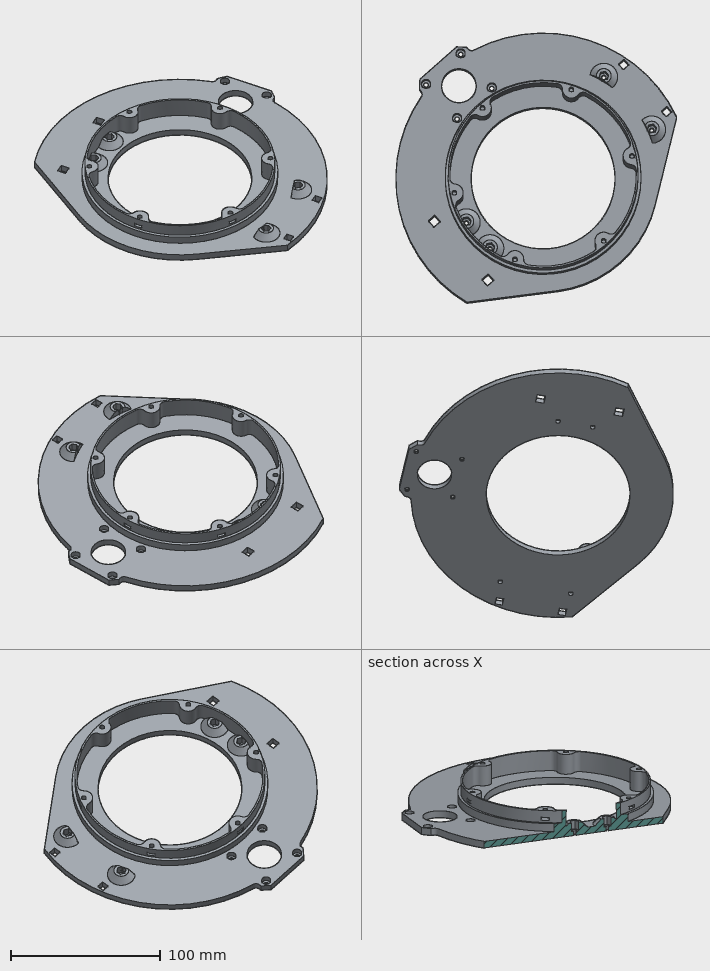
import cadquery as cq
import math

plate_thickness = 5.0
plate_radius = 98.3
nose_radius = 77.0
nose_half_angle = 34.5
bore_diameter = 96.0

tab_half_width = 21.2
tab_top = 104.8
tab_chamfer = 4.7
tab_root_fillet = 3.0
opening_diameter = 23.0
opening_y = 84.2
tab_screw_spacing = 31.0
screw_hole_diameter = 3.0
screw_head_diameter = 6.0
screw_head_depth = 4.0

flange_diameter = 130.8
flange_top = 10.5
ring_diameter = 126.9
ring_top = 18.9
ring_wall = 1.2
ring_inner_radius = ring_diameter / 2 - ring_wall

boss_count = 6
boss_first_angle = 30.0
boss_circle_radius = 60.5
boss_radius = 5.9
boss_fillet = 4.0
boss_hole_diameter = 3.1
nut_width = 5.5
nut_slot_bottom = 12.0
nut_slot_height = 2.0

cone_base_radius = 9.2
cone_top_radius = 5.0
cone_top = 9.2
nut_pocket_depth = 5.9
inner_cone_x = -58.2
inner_cone_half_pitch = 11.8
outer_cone_x = 76.0
outer_cone_half_pitch = 24.0
outer_cone_clearance_radius = 76.7

left_square_size = 5.7
left_square_x = -73.5
left_square_half_pitch = 26.7
right_square_size = 5.0
right_square_x = 91.5
right_square_half_pitch = 21.5


def cylinder(diameter, bottom, top):
    """Cylinder about the Z axis between two heights."""
    return cq.Workplane("XY").workplane(offset=bottom).circle(diameter / 2).extrude(top - bottom)


def mirrored_pair(x, half_pitch):
    """Two points placed symmetrically about the X axis."""
    return [(x, half_pitch), (x, -half_pitch)]


def boss_angles():
    """Angles of the screw bosses about the Z axis, in degrees."""
    return [boss_first_angle + index * 360 / boss_count for index in range(boss_count)]


def make_plate():
    """Plate outline with its two arcs, straight flanks and chamfered tab."""
    tangent = math.radians(nose_half_angle)
    corner = tangent + math.acos(nose_radius / plate_radius)
    tangent_x = nose_radius * math.sin(tangent)
    tangent_y = -nose_radius * math.cos(tangent)
    corner_x = plate_radius * math.sin(corner)
    corner_y = -plate_radius * math.cos(corner)
    tab_root_y = math.sqrt(plate_radius**2 - tab_half_width**2)
    shoulder_y = tab_top - tab_chamfer
    tab_top_half = tab_half_width - tab_chamfer
    plate = (
        cq.Workplane("XY")
        .moveTo(-tangent_x, tangent_y)
        .threePointArc((0, -nose_radius), (tangent_x, tangent_y))
        .lineTo(corner_x, corner_y)
        .threePointArc((plate_radius, 0), (tab_half_width, tab_root_y))
        .lineTo(tab_half_width, shoulder_y)
        .lineTo(tab_top_half, tab_top)
        .lineTo(-tab_top_half, tab_top)
        .lineTo(-tab_half_width, shoulder_y)
        .lineTo(-tab_half_width, tab_root_y)
        .threePointArc((-plate_radius, 0), (-corner_x, corner_y))
        .close()
        .extrude(plate_thickness)
    )
    for side in (-1, 1):
        root = cq.selectors.NearestToPointSelector((side * tab_half_width, tab_root_y, plate_thickness / 2))
        plate = plate.edges(root).fillet(tab_root_fillet)
    return plate


def make_ring_cavity():
    """Space inside the ring: a disc with a filleted notch around every boss."""
    bosses = (
        cq.Workplane("XY")
        .workplane(offset=plate_thickness)
        .polarArray(boss_circle_radius, boss_first_angle, 360, boss_count)
        .circle(boss_radius)
        .extrude(ring_top - plate_thickness)
    )
    cavity = cylinder(2 * ring_inner_radius, plate_thickness, ring_top).cut(bosses)
    notch_reach = boss_radius + boss_fillet
    notch_corners = []
    for angle in map(math.radians, boss_angles()):
        x = boss_circle_radius * math.cos(angle)
        y = boss_circle_radius * math.sin(angle)
        around_boss = cq.selectors.BoxSelector(
            (x - notch_reach, y - notch_reach, 0),
            (x + notch_reach, y + notch_reach, ring_top),
        )
        notch_corners.extend(cavity.edges("|Z").edges(around_boss).vals())
    return cavity.newObject(notch_corners).fillet(boss_fillet)


def cut_boss_holes(body):
    """Screw hole down each boss, meeting a nut slot that opens through the ring wall."""
    slot_inner_radius = boss_circle_radius - nut_width / 2
    slot_length = ring_diameter / 2 - slot_inner_radius + ring_wall
    for angle in boss_angles():
        hole = cylinder(boss_hole_diameter, nut_slot_bottom, ring_top)
        hole = hole.translate((boss_circle_radius, 0, 0))
        slot = cq.Workplane("XY").box(slot_length, nut_width, nut_slot_height, centered=(False, True, False))
        slot = slot.translate((slot_inner_radius, 0, nut_slot_bottom))
        cutter = hole.union(slot).rotate((0, 0, 0), (0, 0, 1), angle)
        body = body.cut(cutter)
    return body


def make_cones(points):
    """Truncated cones standing on the plate."""
    height = cone_top - plate_thickness
    cone = cq.Solid.makeCone(cone_base_radius, cone_top_radius, height)
    return (
        cq.Workplane("XY")
        .workplane(offset=plate_thickness)
        .pushPoints(points)
        .eachpoint(lambda place: cone.located(place), combine=False)
    )


def cut_nut_pockets(body, points):
    """Hexagonal pocket with corners towards +Y and -Y, and a screw hole through its floor."""
    nut_corner_diameter = nut_width / math.cos(math.radians(30))
    pockets = (
        cq.Workplane("XY")
        .workplane(offset=cone_top)
        .transformed(rotate=(0, 0, 90))
        .pushPoints([(y, -x) for x, y in points])
        .polygon(6, nut_corner_diameter)
        .extrude(-nut_pocket_depth)
    )
    holes = cq.Workplane("XY").pushPoints(points).circle(screw_hole_diameter / 2).extrude(cone_top)
    return body.cut(pockets).cut(holes)


def cut_square_holes(body, points, size):
    return body.cut(cq.Workplane("XY").pushPoints(points).rect(size, size).extrude(plate_thickness))


body = make_plate()
body = body.union(cylinder(flange_diameter, 0, flange_top))
body = body.union(cylinder(ring_diameter, 0, ring_top))
body = body.cut(make_ring_cavity())
body = body.cut(cylinder(bore_diameter, 0, plate_thickness))
body = cut_boss_holes(body)

inner_points = mirrored_pair(inner_cone_x, inner_cone_half_pitch)
outer_points = mirrored_pair(outer_cone_x, outer_cone_half_pitch)
inner_cones = make_cones(inner_points).intersect(cylinder(ring_diameter, 0, cone_top))
outer_cones = make_cones(outer_points).cut(cylinder(2 * outer_cone_clearance_radius, 0, cone_top))
body = body.union(inner_cones).union(outer_cones)
body = cut_nut_pockets(body, inner_points + outer_points)

body = body.cut(cylinder(opening_diameter, 0, plate_thickness).translate((0, opening_y, 0)))
body = (
    body.copyWorkplane(cq.Workplane("XY", origin=(0, opening_y, plate_thickness)))
    .rarray(tab_screw_spacing, tab_screw_spacing, 2, 2)
    .cboreHole(screw_hole_diameter, screw_head_diameter, screw_head_depth)
)

left_squares = mirrored_pair(left_square_x, left_square_half_pitch)
right_squares = mirrored_pair(right_square_x, right_square_half_pitch)
body = cut_square_holes(body, left_squares, left_square_size)
result = cut_square_holes(body, right_squares, right_square_size)